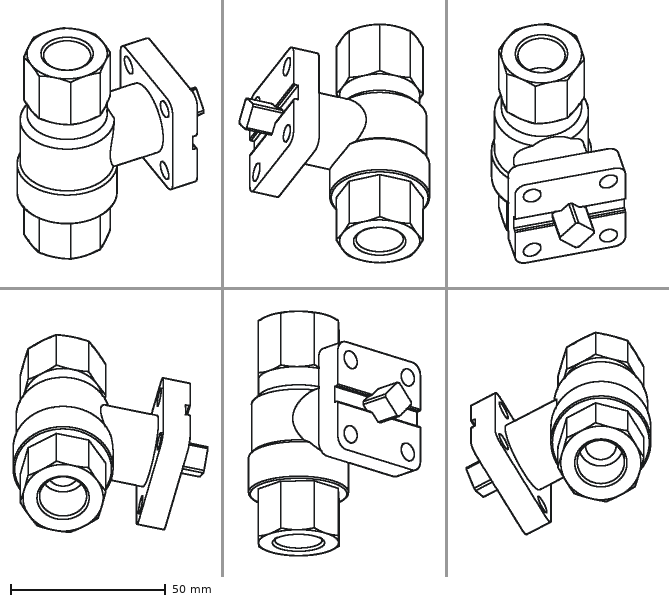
import cadquery as cq
import math


total_height = 75.0
half_height = total_height / 2
flange_size = 37.0
octagon_across_flats = 26.0
octagon_chamfer_angle = 30.0
neck_diameter = octagon_across_flats
neck_top_z = flange_size / 2
body_diameter = 30.5
body_shoulder_z = 10.0
collar_diameter = 32.5
collar_top_z = -8.4
collar_bottom_z = -20.8
collar_bottom_chamfer = 0.5

through_diameter = 10.0
port_mouth_diameter = 16.95
port_thread_diameter = 15.3
port_depth = 14.25
port_taper = 1 / 16

overall_depth = 63.2
branch_diameter = 23.6
flange_thickness = 9.0
flange_corner_radius = 3.75
stem_end_y = overall_depth - collar_diameter / 2
stem_length = 9.0
stem_square = 8.8
stem_across_corners = 11.4
flange_back_y = stem_end_y - stem_length
flange_front_y = flange_back_y - flange_thickness

mounting_circle_radius = 18.1
mounting_slot_width = 5.5
mounting_slot_stretch = 0.5
groove_width = 5.3
groove_depth = 1.6
groove_edge_chamfer = 0.45


def xz_plane(y):
    """Workplane at the given Y with local axes X and Z, extruding toward -Y."""
    return cq.Workplane("XZ", origin=(0, y, 0))


def make_octagon(bottom_z, top_z):
    """Octagonal wrench section with its end corners turned down to a cone."""
    across_corners = octagon_across_flats / math.cos(math.pi / 8)
    flat_radius = octagon_across_flats / 2
    corner_radius = across_corners / 2
    cone_height = (corner_radius - flat_radius) * math.tan(math.radians(octagon_chamfer_angle))
    prism = (
        cq.Workplane("XY", origin=(0, 0, bottom_z))
        .polygon(8, across_corners)
        .extrude(top_z - bottom_z)
        .rotate((0, 0, 0), (0, 0, 1), 180 / 8)
    )
    turned_envelope = (
        cq.Workplane("XZ")
        .moveTo(0, bottom_z)
        .lineTo(flat_radius, bottom_z)
        .lineTo(corner_radius, bottom_z + cone_height)
        .lineTo(corner_radius, top_z - cone_height)
        .lineTo(flat_radius, top_z)
        .lineTo(0, top_z)
        .close()
        .revolve(360, (0, 0, 0), (0, 1, 0))
    )
    return prism.intersect(turned_envelope)


def make_turned_body():
    """Neck, body and collar, joined by 45 degree shoulders."""
    neck_radius = neck_diameter / 2
    body_radius = body_diameter / 2
    collar_radius = collar_diameter / 2
    return (
        cq.Workplane("XZ")
        .moveTo(0, neck_top_z)
        .lineTo(neck_radius, neck_top_z)
        .lineTo(neck_radius, body_shoulder_z + body_radius - neck_radius)
        .lineTo(body_radius, body_shoulder_z)
        .lineTo(body_radius, collar_top_z + collar_radius - body_radius)
        .lineTo(collar_radius, collar_top_z)
        .lineTo(collar_radius, collar_bottom_z + collar_bottom_chamfer)
        .lineTo(collar_radius - collar_bottom_chamfer, collar_bottom_z)
        .lineTo(0, collar_bottom_z)
        .close()
        .revolve(360, (0, 0, 0), (0, 1, 0))
    )


def make_port_cutter():
    """Tapered thread bore with a 45 degree mouth chamfer, opening at the top end."""
    mouth_radius = port_mouth_diameter / 2
    thread_radius = port_thread_diameter / 2
    thread_start_z = half_height - (mouth_radius - thread_radius)
    floor_z = half_height - port_depth
    floor_radius = thread_radius - (thread_start_z - floor_z) * port_taper / 2
    return (
        cq.Workplane("XZ")
        .moveTo(0, half_height)
        .lineTo(mouth_radius, half_height)
        .lineTo(thread_radius, thread_start_z)
        .lineTo(floor_radius, floor_z)
        .lineTo(0, floor_z)
        .close()
        .revolve(360, (0, 0, 0), (0, 1, 0))
    )


def make_flange():
    """Rounded square plate with four radial slots and a groove across its back."""
    plate = (
        xz_plane(flange_back_y)
        .rect(flange_size, flange_size)
        .extrude(flange_thickness)
        .edges("|Y")
        .fillet(flange_corner_radius)
    )
    for angle in (45, 135, 225, 315):
        slot = (
            xz_plane(flange_back_y)
            .center(mounting_circle_radius, 0)
            .slot2D(mounting_slot_width + mounting_slot_stretch, mounting_slot_width)
            .extrude(flange_thickness)
            .rotate((0, 0, 0), (0, 1, 0), angle)
        )
        plate = plate.cut(slot)

    half_groove = groove_width / 2
    groove_floor_y = flange_back_y - groove_depth
    groove = (
        cq.Workplane("YZ")
        .moveTo(groove_floor_y, -half_groove)
        .lineTo(flange_back_y - groove_edge_chamfer, -half_groove)
        .lineTo(flange_back_y, -half_groove - groove_edge_chamfer)
        .lineTo(flange_back_y, half_groove + groove_edge_chamfer)
        .lineTo(flange_back_y - groove_edge_chamfer, half_groove)
        .lineTo(groove_floor_y, half_groove)
        .close()
        .extrude(flange_size / 2, both=True)
    )
    return plate.cut(groove)


def make_stem():
    """Square drive set on its corner, with the four corners cut flat."""
    length = stem_end_y - flange_front_y
    diamond = (
        xz_plane(stem_end_y)
        .rect(stem_square, stem_square)
        .extrude(length)
        .rotate((0, 0, 0), (0, 1, 0), 45)
    )
    corner_flats = xz_plane(stem_end_y).rect(stem_across_corners, stem_across_corners).extrude(length)
    return diamond.intersect(corner_flats)


branch = xz_plane(flange_front_y).circle(branch_diameter / 2).extrude(flange_front_y)
upper_octagon = make_octagon(neck_top_z, half_height)
lower_octagon = make_octagon(-half_height, collar_top_z)

valve = (
    make_turned_body()
    .union(upper_octagon)
    .union(lower_octagon)
    .union(branch)
    .union(make_flange())
    .union(make_stem())
)

top_port = make_port_cutter()
bottom_port = top_port.mirror("XY")
through_bore = (
    cq.Workplane("XY", origin=(0, 0, -half_height))
    .circle(through_diameter / 2)
    .extrude(total_height)
)

result = valve.cut(top_port).cut(bottom_port).cut(through_bore)